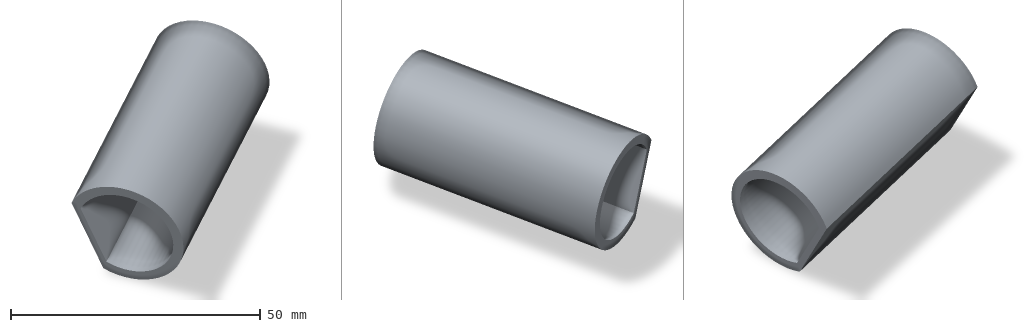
import cadquery as cq
import math

LENGTH = 50.5
OUTER_RADIUS = 12.45
INNER_RADIUS = 10.25
OUTER_FLAT_DISTANCE = OUTER_RADIUS * math.cos(math.radians(45))
FLAT_WALL = 1.4
FLAT_TILT = 22.8


def d_prism(radius, flat_distance):
    """Cylinder segment along Y, centred on the origin, with its flat facing -X."""
    half_chord = math.sqrt(radius**2 - flat_distance**2)
    return (
        cq.Workplane("XZ", origin=(0, LENGTH / 2, 0))
        .moveTo(-flat_distance, half_chord)
        .threePointArc((radius, 0), (-flat_distance, -half_chord))
        .close()
        .extrude(LENGTH)
    )


outer_body = d_prism(OUTER_RADIUS, OUTER_FLAT_DISTANCE)
bore = d_prism(INNER_RADIUS, OUTER_FLAT_DISTANCE - FLAT_WALL)

result = outer_body.cut(bore).rotate((0, 0, 0), (0, -1, 0), FLAT_TILT)